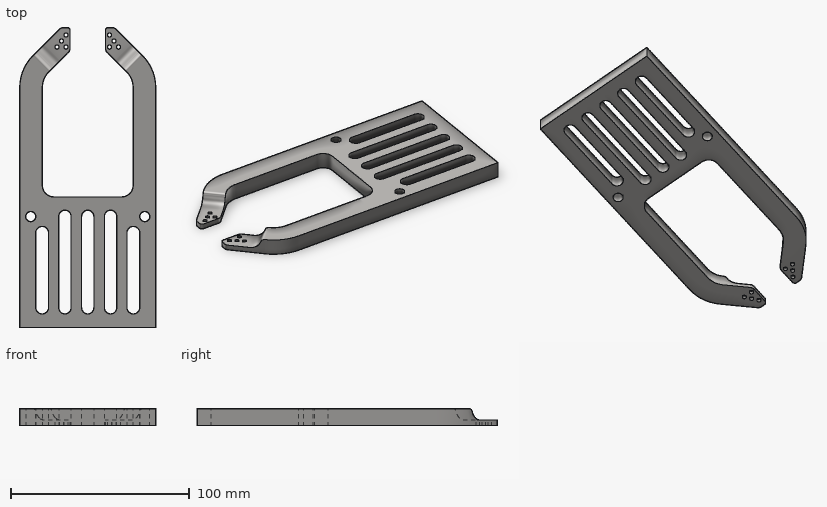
import cadquery as cq
import math

width = 76.2
length = 167.8
thickness = 9.5
half_width = width / 2

arm_width = 12.8
bend_outer_radius = 25.2
bend_start_y = 134.2
tip_gap = 19.6
tip_corner_radius = 1.7
tip_side_radius = 3.4
opening_bottom_y = 73.2
opening_corner_radius = 6.4

pad_thickness = 3.2
step_length = 8.7
step_top_radius = 2.7
pad_hole_diameter = 2.2
pad_hole_spacing = 5.0
pad_hole_rise = 6.7
pad_hole_inset = 2.3
pad_hole_first_y = 156.9

slot_pitch = 12.8
slot_bottom_y = 7.7
inner_slot_width = 6.7
inner_slot_top_y = 65.6
outer_slot_width = 7.0
outer_slot_top_y = 56.5
mount_hole_diameter = 5.5
mount_hole_x = 31.9
mount_hole_y = 62.1

bend_angle = math.radians(45)
bend_inner_radius = bend_outer_radius - arm_width
bend_center_x = -half_width + bend_outer_radius
tip_x = -tip_gap / 2


def bend_point(radius, angle):
    """Point on the left bend, at an angle measured from the arm's straight side."""
    return (
        bend_center_x - radius * math.cos(angle),
        bend_start_y + radius * math.sin(angle),
    )


outer_end = bend_point(bend_outer_radius, bend_angle)
inner_end = bend_point(bend_inner_radius, bend_angle)


def vertical_edge_at(x, y):
    """Selector for the vertical edge standing at (x, y)."""
    margin = 0.2
    return cq.selectors.BoxSelector(
        (x - margin, y - margin, 0),
        (x + margin, y + margin, thickness),
    )


def make_left_half():
    """Left half of the plate with one bent arm, at full thickness."""
    top_corner = (outer_end[0] + length - outer_end[1], length)
    tip_corner = (tip_x, inner_end[1] + tip_x - inner_end[0])
    inner_x = -half_width + arm_width
    half = (
        cq.Workplane("XY")
        .moveTo(0, 0)
        .lineTo(-half_width, 0)
        .lineTo(-half_width, bend_start_y)
        .threePointArc(bend_point(bend_outer_radius, bend_angle / 2), outer_end)
        .lineTo(*top_corner)
        .lineTo(tip_x, length)
        .lineTo(*tip_corner)
        .lineTo(*inner_end)
        .threePointArc(bend_point(bend_inner_radius, bend_angle / 2), (inner_x, bend_start_y))
        .lineTo(inner_x, opening_bottom_y + opening_corner_radius)
        .radiusArc((inner_x + opening_corner_radius, opening_bottom_y), -opening_corner_radius)
        .lineTo(0, opening_bottom_y)
        .close()
        .extrude(thickness)
    )
    half = half.edges(vertical_edge_at(tip_x, length)).fillet(tip_corner_radius)
    for corner in (top_corner, tip_corner):
        half = half.edges(vertical_edge_at(*corner)).fillet(tip_side_radius)
    return half


def make_step_cutter():
    """Material above the left pad; two tangent arcs form the step down to it."""
    drop = thickness - pad_thickness
    turn = 2 * math.atan(drop / step_length)
    pad_radius = step_length / math.sin(turn) - step_top_radius

    def top_arc_point(angle):
        return (
            step_top_radius * math.sin(angle),
            thickness - step_top_radius * (1 - math.cos(angle)),
        )

    def pad_arc_point(angle):
        return (
            step_length - pad_radius * math.sin(angle),
            pad_thickness + pad_radius * (1 - math.cos(angle)),
        )

    clearance = 1.7
    reach = 33.5
    along_arm = (math.sin(bend_angle), math.cos(bend_angle), 0)
    across_arm = (math.cos(bend_angle), -math.sin(bend_angle), 0)
    step_plane = cq.Plane(origin=(*outer_end, 0), xDir=along_arm, normal=across_arm)
    return (
        cq.Workplane(step_plane)
        .workplane(offset=-clearance)
        .moveTo(0, thickness)
        .threePointArc(top_arc_point(turn / 2), top_arc_point(turn))
        .threePointArc(pad_arc_point(turn / 2), (step_length, pad_thickness))
        .lineTo(reach, pad_thickness)
        .lineTo(reach, thickness + clearance)
        .lineTo(0, thickness + clearance)
        .close()
        .extrude(arm_width + 2 * clearance)
    )


def make_pad_holes():
    """Three corner holes of a triangle and one midway along its sloping side."""
    right_x = tip_x - pad_hole_inset
    left_x = right_x - pad_hole_spacing
    top_y = pad_hole_first_y + pad_hole_rise
    points = [
        (left_x, pad_hole_first_y),
        (right_x, pad_hole_first_y),
        (right_x, top_y),
        ((left_x + right_x) / 2, (pad_hole_first_y + top_y) / 2),
    ]
    return cq.Workplane("XY").pushPoints(points).circle(pad_hole_diameter / 2).extrude(thickness)


def make_slots(x_positions, slot_width, top_y):
    """Through slots along Y that share the same lower end."""
    return (
        cq.Workplane("XY")
        .pushPoints([(x, (slot_bottom_y + top_y) / 2) for x in x_positions])
        .slot2D(top_y - slot_bottom_y, slot_width, 90)
        .extrude(thickness)
    )


def make_mount_holes():
    """One through hole near each long side."""
    return (
        cq.Workplane("XY")
        .pushPoints([(side * mount_hole_x, mount_hole_y) for side in (-1, 1)])
        .circle(mount_hole_diameter / 2)
        .extrude(thickness)
    )


left_half = make_left_half().cut(make_step_cutter()).cut(make_pad_holes())
plate = left_half.union(left_half.mirror("YZ")).clean()

result = (
    plate
    .cut(make_slots([-slot_pitch, 0, slot_pitch], inner_slot_width, inner_slot_top_y))
    .cut(make_slots([-2 * slot_pitch, 2 * slot_pitch], outer_slot_width, outer_slot_top_y))
    .cut(make_mount_holes())
)